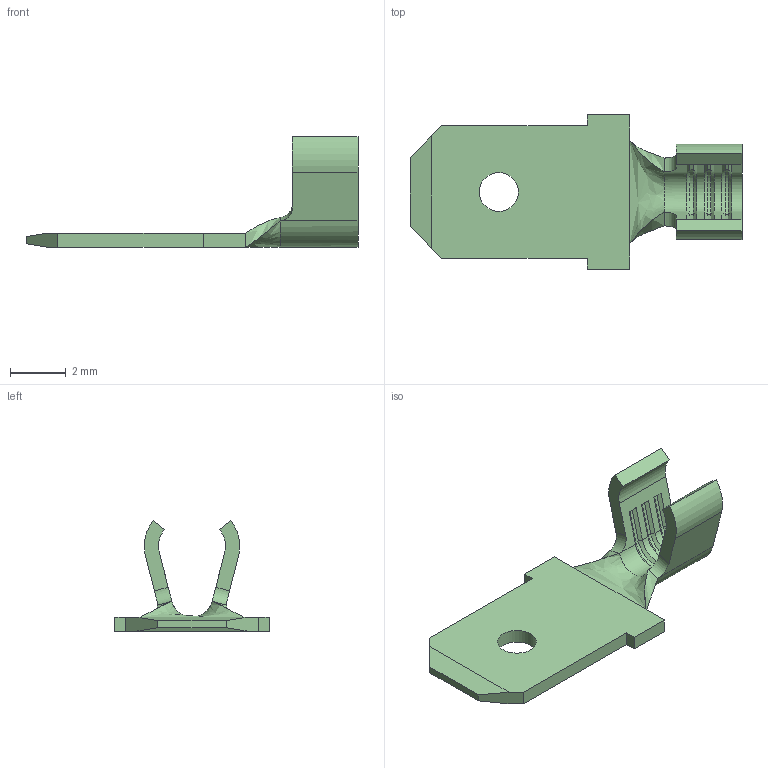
import cadquery as cq
import math

thickness = 0.51
tab_width = 4.76
tip_width = 2.45
tip_thickness = 0.26
tip_taper_length = 0.77
corner_length = 1.13
shoulder_width = 5.54
shoulder_start = 6.35
tab_end = 7.87
hole_diameter = 1.4
hole_x = 3.18

overall_length = 11.89
barrel_start = 9.54
barrel_height = 3.96
floor_radius = 1.255
arm_lean = math.radians(14.4)
lip_radius = 1.446
lip_end_angle = math.radians(39)

neck_root_half_width = 1.85
neck_end = 9.10
neck_stations = 5
neck_narrowing = 3
neck_bending = 1.15
web_length = barrel_start - neck_end
web_height = 0.52

groove_count = 3
groove_pitch = 0.63
groove_mouth = 0.36
groove_floor = 0.12
groove_depth = 0.1
groove_arm_length = 1.3

floor_half_angle = math.pi / 2 - arm_lean
floor_rise = floor_radius * (1 - math.sin(arm_lean))
lip_rise = lip_radius * (math.sin(arm_lean) + math.sin(lip_end_angle))
arm_length = (barrel_height - floor_rise - lip_rise) / math.cos(arm_lean)
arm_foot_y = floor_radius * math.cos(arm_lean)
arm_foot_z = floor_rise
arm_top_y = arm_foot_y + arm_length * math.sin(arm_lean)
arm_top_z = arm_foot_z + arm_length * math.cos(arm_lean)
lip_center_y = arm_top_y - lip_radius * math.cos(arm_lean)
lip_center_z = arm_top_z + lip_radius * math.sin(arm_lean)


def both_sides(solid):
    return solid.union(solid.mirror("XZ"))


def make_tab():
    half_tip = tip_width / 2
    half_tab = tab_width / 2
    half_shoulder = shoulder_width / 2
    outline = [
        (0, half_tip),
        (corner_length, half_tab),
        (shoulder_start, half_tab),
        (shoulder_start, half_shoulder),
        (tab_end, half_shoulder),
    ]
    mirrored = [(x, -y) for x, y in reversed(outline)]
    plan = cq.Workplane("XY").polyline(outline + mirrored).close().extrude(thickness)

    tip_step = (thickness - tip_thickness) / 2
    side = (
        cq.Workplane("XZ")
        .polyline([
            (0, tip_step),
            (tip_taper_length, 0),
            (tab_end, 0),
            (tab_end, thickness),
            (tip_taper_length, thickness),
            (0, thickness - tip_step),
        ])
        .close()
        .extrude(shoulder_width / 2, both=True)
    )
    hole = cq.Workplane("XY").center(hole_x, 0).circle(hole_diameter / 2).extrude(thickness)
    return plan.intersect(side).cut(hole)


def floor_point(radius, angle, center_z):
    """Point at an angle from straight down, about a bend centre on the middle plane."""
    return (radius * math.sin(angle), center_z - radius * math.cos(angle))


def trough(workplane, outer_radius, half_angle):
    """Closed section of a sheet bent into a round trough resting on Z = 0."""
    inner_radius = outer_radius - thickness
    return (
        workplane
        .moveTo(*floor_point(outer_radius, -half_angle, outer_radius))
        .threePointArc((0, 0), floor_point(outer_radius, half_angle, outer_radius))
        .lineTo(*floor_point(inner_radius, half_angle, outer_radius))
        .threePointArc((0, thickness), floor_point(inner_radius, -half_angle, outer_radius))
        .close()
    )


def lip_point(radius, angle):
    """Point at an angle above horizontal, about the lip centre."""
    return (lip_center_y + radius * math.cos(angle), lip_center_z + radius * math.sin(angle))


def make_barrel():
    barrel_length = overall_length - barrel_start
    floor_plane = cq.Workplane("YZ", origin=(barrel_start, 0, 0))
    barrel_floor = trough(floor_plane, floor_radius, floor_half_angle).extrude(barrel_length)

    inner_floor_radius = floor_radius - thickness
    inner_lip_radius = lip_radius - thickness
    lip_middle_angle = (lip_end_angle - arm_lean) / 2
    arm = (
        cq.Workplane("YZ", origin=(barrel_start, 0, 0))
        .moveTo(arm_foot_y, arm_foot_z)
        .lineTo(arm_top_y, arm_top_z)
        .threePointArc(lip_point(lip_radius, lip_middle_angle), lip_point(lip_radius, lip_end_angle))
        .lineTo(*lip_point(inner_lip_radius, lip_end_angle))
        .threePointArc(
            lip_point(inner_lip_radius, lip_middle_angle),
            lip_point(inner_lip_radius, -arm_lean),
        )
        .lineTo(*floor_point(inner_floor_radius, floor_half_angle, floor_radius))
        .close()
        .extrude(barrel_length)
    )
    return barrel_floor.union(both_sides(arm))


def make_neck():
    """Sheet that narrows and bends steadily from the flat tab into the barrel floor."""
    end_half_width = (floor_radius - thickness / 2) * floor_half_angle
    neck = (
        cq.Workplane("YZ", origin=(tab_end, 0, 0))
        .moveTo(-neck_root_half_width, 0)
        .lineTo(neck_root_half_width, 0)
        .lineTo(neck_root_half_width, thickness)
        .lineTo(-neck_root_half_width, thickness)
        .close()
    )
    station_step = (neck_end - tab_end) / neck_stations
    for station in range(1, neck_stations + 1):
        fraction = station / neck_stations
        half_angle = fraction**neck_bending * floor_half_angle
        widening = (neck_root_half_width - end_half_width) * (1 - fraction) ** neck_narrowing
        middle_radius = (end_half_width + widening) / half_angle
        neck = trough(neck.workplane(offset=station_step), middle_radius + thickness / 2, half_angle)
    return neck.loft(combine=True)


def make_neck_collar():
    """Last stretch of neck, with concave webs rising onto the front edges of the arms."""
    collar_plane = cq.Workplane("YZ", origin=(neck_end, 0, 0))
    collar_floor = trough(collar_plane, floor_radius, floor_half_angle).extrude(web_length)
    arm_plane = cq.Plane(
        origin=(neck_end, arm_foot_y, arm_foot_z),
        xDir=(1, 0, 0),
        normal=(0, -math.cos(arm_lean), math.sin(arm_lean)),
    )
    mid_slope = math.pi / 4
    web_middle = (web_length * math.sin(mid_slope), web_height * (1 - math.cos(mid_slope)))
    web = (
        cq.Workplane(arm_plane)
        .moveTo(0, 0)
        .threePointArc(web_middle, (web_length, web_height))
        .lineTo(web_length, 0)
        .close()
        .extrude(thickness)
    )
    return collar_floor.union(both_sides(web))


def make_groove(center_x):
    """Trapezoidal groove cutter that follows the barrel floor and runs up both arms."""
    surface_radius = floor_radius - thickness
    section = [
        (-groove_mouth / 2, surface_radius),
        (-groove_floor / 2, surface_radius + groove_depth),
        (groove_floor / 2, surface_radius + groove_depth),
        (groove_mouth / 2, surface_radius),
    ]
    foot_plane = cq.Plane(
        origin=(center_x, 0, floor_radius),
        xDir=(1, 0, 0),
        normal=(0, math.sin(arm_lean), math.cos(arm_lean)),
    )
    arm_part = cq.Workplane(foot_plane).polyline(section).close().extrude(groove_arm_length)
    floor_part = (
        cq.Workplane(foot_plane)
        .polyline(section)
        .close()
        .revolve(math.degrees(2 * floor_half_angle), (0, 0), (-1, 0))
    )
    return both_sides(arm_part).union(floor_part)


result = make_tab().union(make_neck()).union(make_neck_collar()).union(make_barrel())

barrel_middle = (barrel_start + overall_length) / 2
for index in range(groove_count):
    offset = (index - (groove_count - 1) / 2) * groove_pitch
    result = result.cut(make_groove(barrel_middle + offset))